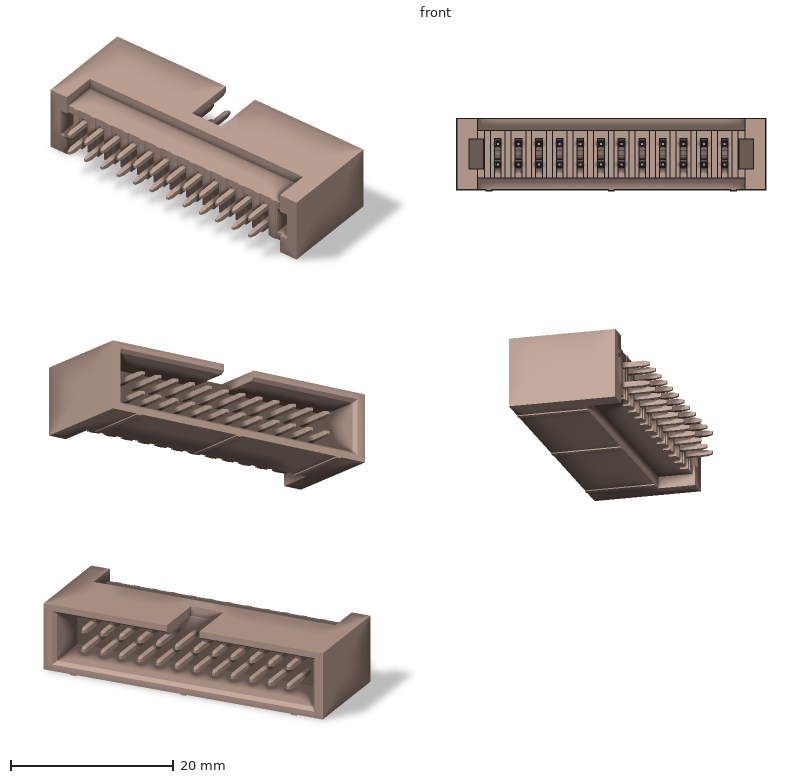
import cadquery as cq
import math


length = 38.1
depth = 13.65
height = 8.8
mid_z = height / 2

wall_z = 1.22
wall_x = 1.52
cavity_depth = 6.55
lead_in_width = 0.4
lead_in_depth = 0.57

notch_width = 4.5
notch_depth = 6.9

end_wall = 2.55
step_height = 1.5
step_end = 4.7
tongue_setback = 0.35
tongue_length = length - 2 * end_wall
tongue_height = height - 2 * step_height

pin_count = 12
pin_row_length = 27.95
pitch = pin_row_length / (pin_count - 1)
pin_width = 0.65
pin_tip_width = 0.4
pin_tail_end = -2.97
pin_tail_taper = 0.85
pin_plug_end = depth - 0.65
pin_plug_taper = 0.65
pin_xs = [(i - (pin_count - 1) / 2) * pitch for i in range(pin_count)]
lower_row = mid_z - pitch / 2
upper_row = mid_z + pitch / 2

ridge_width = 0.72
ridge_rise = 0.1
ridge_xs = [(i - pin_count / 2) * pitch for i in range(pin_count + 1)]

slot_width = 0.85
slot_depth = 1.0
slot_headroom = 0.65
slot_top = upper_row + slot_headroom
pin_well_depth = 0.9
pin_clearance = 0.05
saddle_clearance = 0.3
saddle_radius = 0.45
rim_radius = slot_headroom - pin_width / 2 - pin_clearance
sill_radius = 0.1

pocket_width = 1.75
pocket_height = 3.7
pocket_depth = 3.8
pocket_x = length / 2 - wall_x - pocket_width / 2

rib_width = 0.72
rib_height = 0.135
rib_spacing = 15.1


def block(x, y, z):
    """Axis-aligned box given by its (low, high) limits along each axis."""
    size = [high - low for low, high in (x, y, z)]
    return cq.Workplane("XY").box(*size, centered=False).translate((x[0], y[0], z[0]))


def centred(middle, width):
    """(low, high) limits of a span about its middle."""
    return (middle - width / 2, middle + width / 2)


def make_housing():
    body = block(centred(0, length), (0, depth), (0, height))
    tongue_x = centred(0, tongue_length)
    for z in ((0, step_height), (height - step_height, height)):
        body = body.cut(block(tongue_x, (0, step_end), z))
    return body.cut(block(tongue_x, (0, tongue_setback), (0, height)))


def make_cavity():
    """Plug cavity with a bevelled lead-in around its mouth."""
    cavity_length = length - 2 * wall_x
    cavity_height = height - 2 * wall_z
    cavity = block(centred(0, cavity_length), (depth - cavity_depth, depth), centred(mid_z, cavity_height))
    lead_in = (
        cq.Workplane("XZ", origin=(0, depth, mid_z))
        .rect(cavity_length + 2 * lead_in_width, cavity_height + 2 * lead_in_width)
        .extrude(lead_in_depth, taper=math.degrees(math.atan2(lead_in_width, lead_in_depth)))
    )
    return cavity.union(lead_in)


def make_slot(x):
    """Slot open at the tongue's underside, with rounded edges leading to a well at each pin."""
    face = tongue_setback
    floor = face + slot_depth
    well_floor = floor + pin_well_depth
    diagonal = math.sqrt(0.5)

    def round_edge(path, corner_z, towards, radius, into_well):
        """Quarter round from the slot floor to a well side, or back out to the floor."""
        floor_point = (floor, corner_z + towards * radius)
        side_point = (floor + radius, corner_z)
        middle = (
            floor + radius * (1 - diagonal),
            corner_z + towards * radius * (1 - diagonal),
        )
        end = side_point if into_well else floor_point
        return path.threePointArc(middle, end)

    path = cq.Workplane("YZ", origin=(x - slot_width / 2, 0, 0))
    path = path.moveTo(face, step_height).lineTo(floor, step_height)
    wells = (
        (lower_row, pin_clearance, sill_radius, saddle_clearance, saddle_radius),
        (upper_row, pin_clearance, saddle_radius, pin_clearance, rim_radius),
    )
    for row, gap_below, radius_below, gap_above, radius_above in wells:
        low = row - pin_width / 2 - gap_below
        high = row + pin_width / 2 + gap_above
        path = path.lineTo(floor, low - radius_below)
        path = round_edge(path, low, -1, radius_below, True)
        path = path.lineTo(well_floor, low).lineTo(well_floor, high)
        path = path.lineTo(floor + radius_above, high)
        path = round_edge(path, high, 1, radius_above, False)
    return path.lineTo(face, slot_top).close().extrude(slot_width)


def make_pin(x, z):
    """Square pin tapered at both ends."""
    shank_start = pin_tail_end + pin_tail_taper
    shank_end = pin_plug_end - pin_plug_taper
    pin = block(centred(x, pin_width), (shank_start, shank_end), centred(z, pin_width))
    for base, tip in ((shank_start, pin_tail_end), (shank_end, pin_plug_end)):
        point = (
            cq.Workplane("XZ", origin=(x, base, z))
            .rect(pin_width, pin_width)
            .workplane(offset=base - tip)
            .rect(pin_tip_width, pin_tip_width)
            .loft()
        )
        pin = pin.union(point)
    return pin


result = make_housing().cut(make_cavity())

result = result.cut(block(centred(0, notch_width), (depth - notch_depth, depth), (height - wall_z, height)))

for side in (-1, 1):
    result = result.cut(
        block(centred(side * pocket_x, pocket_width), (0, pocket_depth), centred(mid_z, pocket_height))
    )

for x in ridge_xs:
    result = result.union(
        block(
            centred(x, ridge_width),
            (tongue_setback - ridge_rise, tongue_setback),
            centred(mid_z, tongue_height),
        )
    )

for x in (-rib_spacing, 0, rib_spacing):
    result = result.union(block(centred(x, rib_width), (step_end, depth), (-rib_height, 0)))

for x in pin_xs:
    result = result.cut(make_slot(x))
for x in pin_xs:
    for z in (lower_row, upper_row):
        result = result.union(make_pin(x, z))